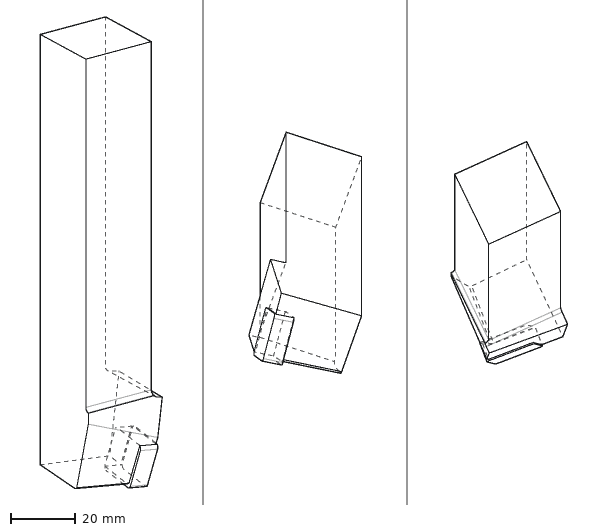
import math

import cadquery as cq

LENGTH = 151.4
SHANK_WIDTH = 24.8
SHANK_DEPTH = 25.0
HEAD_WIDTH = 26.2
HEAD_DEPTH = 30.1
SIDE_STEP_Z = 33.8
BACK_STEP_Z = 33.0
STEP_RADIUS = 1.5
STEP_SLOPE = math.radians(15)

SIDE_ANGLE = math.radians(15)
END_ANGLE = math.radians(5)
RAKE = math.radians(6)
FRONT_CORNER_X = 19.7
FRONT_CORNER_Z = 4.2
CORNER_CUT = 0.5

NOSE_X = 22.4
NOSE_Z = 0.0
INSERT_EDGE = 15.9
INSERT_NOSE_ANGLE = math.radians(100)
INSERT_THICKNESS = 6.4
INSERT_RISE = 0.5
INSERT_RADIUS = 1.2

CUTTER = 90.8

RAKE_X = math.tan(RAKE) * (math.sin(SIDE_ANGLE) - math.cos(SIDE_ANGLE))
RAKE_Z = math.tan(RAKE) * (math.sin(SIDE_ANGLE) + math.cos(SIDE_ANGLE))
RAKE_NORMAL = (-RAKE_X, 1, -RAKE_Z)

CORNER_ANGLE = (SIDE_ANGLE + math.pi / 2 + END_ANGLE) / 2

ARC_OUT = STEP_RADIUS * (1 - math.sin(STEP_SLOPE))
ARC_DROP = STEP_RADIUS * math.cos(STEP_SLOPE)
STEP_EDGE_Z = BACK_STEP_Z - ARC_DROP - (HEAD_DEPTH - SHANK_DEPTH - ARC_OUT) * math.tan(STEP_SLOPE)

NOSE_Y = HEAD_DEPTH + RAKE_X * NOSE_X - RAKE_Z * (STEP_EDGE_Z - NOSE_Z)
NOSE = (NOSE_X, NOSE_Y, NOSE_Z)


def side_profile(plane, shank, head, step_z):
    """Outline of shank and head: across on the local x axis, Z on the local y axis."""
    half_turn = (math.pi / 2 - STEP_SLOPE) / 2
    arc_middle = (
        shank + STEP_RADIUS * (1 - math.cos(half_turn)),
        step_z - STEP_RADIUS * math.sin(half_turn),
    )
    arc_end = (shank + ARC_OUT, step_z - ARC_DROP)
    edge_z = arc_end[1] - (head - arc_end[0]) * math.tan(STEP_SLOPE)
    return (
        cq.Workplane(plane)
        .moveTo(0, 0)
        .lineTo(0, LENGTH)
        .lineTo(shank, LENGTH)
        .lineTo(shank, step_z)
        .threePointArc(arc_middle, arc_end)
        .lineTo(head, edge_z)
        .lineTo(head, 0)
        .close()
    )


def trim(body, point, outward):
    """Remove everything beyond the plane through point with the given outward normal."""
    plane = cq.Plane(origin=point, normal=outward)
    return body.cut(cq.Workplane(plane).rect(CUTTER, CUTTER).extrude(CUTTER))


def flank_normal(angle):
    """Outward normal of a flank square to the rake face, turned down from +X by angle."""
    lean = RAKE_X * math.cos(angle) - RAKE_Z * math.sin(angle)
    return (math.cos(angle), lean, -math.sin(angle))


def make_insert():
    """Rhombic prism sunk into the rake face, with one corner at the nose."""
    along_edge = (
        math.sin(SIDE_ANGLE),
        RAKE_X * math.sin(SIDE_ANGLE) + RAKE_Z * math.cos(SIDE_ANGLE),
        math.cos(SIDE_ANGLE),
    )
    plane = cq.Plane(origin=NOSE, xDir=along_edge, normal=RAKE_NORMAL)
    end_x = INSERT_EDGE * math.cos(INSERT_NOSE_ANGLE)
    end_y = -INSERT_EDGE * math.sin(INSERT_NOSE_ANGLE)
    prism = (
        cq.Workplane(plane)
        .workplane(offset=INSERT_RISE)
        .polyline([(0, 0), (INSERT_EDGE, 0), (INSERT_EDGE + end_x, end_y), (end_x, end_y)])
        .close()
        .extrude(-INSERT_THICKNESS)
    )
    corners = cq.selectors.ParallelDirSelector(plane.zDir)
    return prism.edges(corners).fillet(INSERT_RADIUS)


def make_holder(insert):
    body = side_profile("YZ", SHANK_DEPTH, HEAD_DEPTH, BACK_STEP_Z).extrude(HEAD_WIDTH)
    side = side_profile("XZ", SHANK_WIDTH, HEAD_WIDTH, SIDE_STEP_Z).extrude(-HEAD_DEPTH)
    body = body.intersect(side)

    corner = (FRONT_CORNER_X, 0, FRONT_CORNER_Z)
    facet_point = (
        FRONT_CORNER_X - CORNER_CUT * math.cos(CORNER_ANGLE),
        0,
        FRONT_CORNER_Z + CORNER_CUT * math.sin(CORNER_ANGLE),
    )
    body = trim(body, corner, flank_normal(SIDE_ANGLE))
    body = trim(body, corner, flank_normal(math.pi / 2 + END_ANGLE))
    body = trim(body, facet_point, flank_normal(CORNER_ANGLE))
    body = trim(body, NOSE, RAKE_NORMAL)
    return body.cut(insert)


insert = make_insert()
holder = make_holder(insert)

result = cq.Compound.makeCompound([holder.solids().val(), insert.solids().val()])